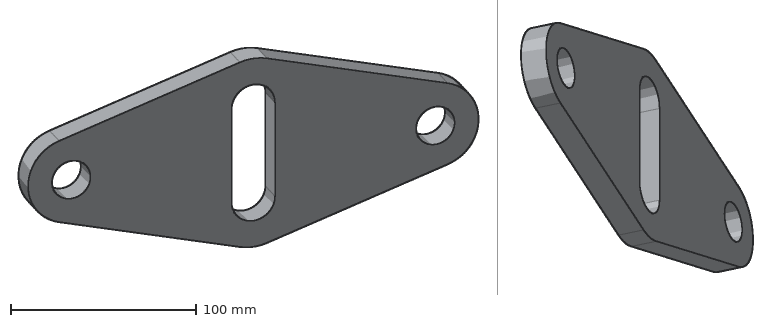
import cadquery as cq
import math

length = 259.8
height = 111.0
thickness = 15.0
end_radius = 25.0
crown_radius = 27.8

hole_diameter = 22.0
slot_length = 80.0
slot_width = 25.0

end_center = length / 2 - end_radius
crown_center = height / 2 - crown_radius

center_distance = math.hypot(end_center, crown_center)
normal_angle = math.atan2(end_center, crown_center) - math.asin(
    (crown_radius - end_radius) / center_distance
)
normal_y = math.cos(normal_angle)
normal_z = math.sin(normal_angle)

end_y = end_center + end_radius * normal_y
end_z = end_radius * normal_z
crown_y = crown_radius * normal_y
crown_z = crown_center + crown_radius * normal_z


def make_plate():
    """Rounded rhombus centred on the YZ plane."""
    return (
        cq.Workplane("YZ", origin=(-thickness / 2, 0, 0))
        .moveTo(end_y, -end_z)
        .threePointArc((length / 2, 0), (end_y, end_z))
        .lineTo(crown_y, crown_z)
        .threePointArc((0, height / 2), (-crown_y, crown_z))
        .lineTo(-end_y, end_z)
        .threePointArc((-length / 2, 0), (-end_y, -end_z))
        .lineTo(-crown_y, -crown_z)
        .threePointArc((0, -height / 2), (crown_y, -crown_z))
        .close()
        .extrude(thickness)
    )


def make_end_holes():
    """Through holes concentric with the rounded ends."""
    return (
        cq.Workplane("YZ", origin=(-thickness / 2, 0, 0))
        .pushPoints([(-end_center, 0), (end_center, 0)])
        .circle(hole_diameter / 2)
        .extrude(thickness)
    )


def make_slot():
    """Central through slot running along Z."""
    return (
        cq.Workplane("YZ", origin=(-thickness / 2, 0, 0))
        .slot2D(slot_length, slot_width, 90)
        .extrude(thickness)
    )


result = make_plate().cut(make_end_holes()).cut(make_slot())